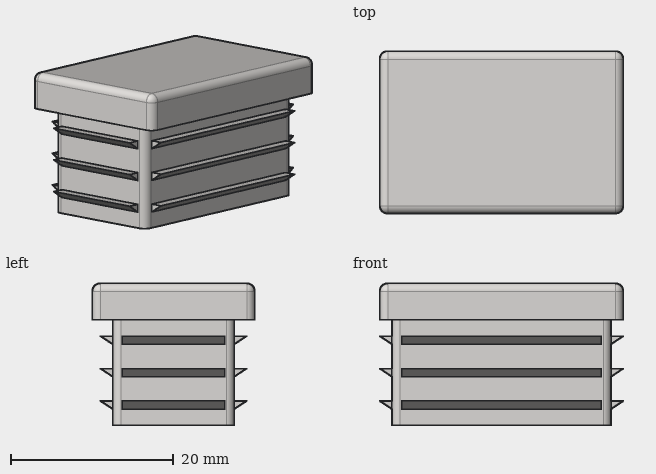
import cadquery as cq

cap_length = 30.0
cap_width = 20.0
cap_height = 4.5
total_height = 17.5
edge_radius = 1.0

plug_length = 27.0
plug_width = 15.0
plug_height = total_height - cap_height

rib_reach = 1.5
rib_height = 1.0
rib_pitch = 4.0
lowest_rib_top = 3.0
rib_count = 3
long_rib_length = 24.5
short_rib_length = 12.6
rib_root_overlap = 0.3


def make_cap():
    cap = cq.Workplane("XY").workplane(offset=plug_height)
    cap = cap.rect(cap_length, cap_width).extrude(cap_height)
    return cap.edges("|Z or >Z").fillet(edge_radius)


def make_plug():
    plug = cq.Workplane("XY").rect(plug_length, plug_width).extrude(plug_height)
    return plug.edges("|Z").fillet(edge_radius)


def make_rib(wall_distance, length, top):
    """Rib on the +X side, with its root sunk slightly into the wall."""
    root = wall_distance - rib_root_overlap
    profile = [
        (root, top),
        (wall_distance + rib_reach, top),
        (wall_distance, top - rib_height),
        (root, top - rib_height),
    ]
    return cq.Workplane("XZ").polyline(profile).close().extrude(length / 2, both=True)


result = make_plug().union(make_cap())
for level in range(rib_count):
    rib_top = lowest_rib_top + level * rib_pitch
    end_rib = make_rib(plug_length / 2, short_rib_length, rib_top)
    side_rib = make_rib(plug_width / 2, long_rib_length, rib_top)
    for turn in (0, 180):
        result = result.union(end_rib.rotate((0, 0, 0), (0, 0, 1), turn))
        result = result.union(side_rib.rotate((0, 0, 0), (0, 0, 1), turn + 90))